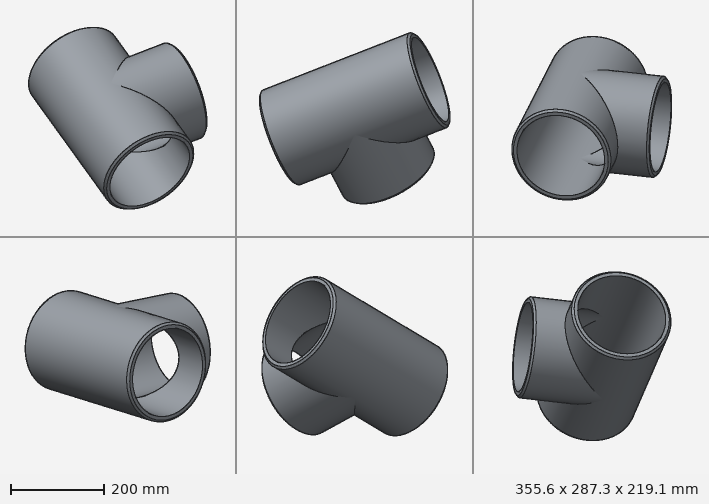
import cadquery as cq

outer_diameter = 219.075
wall = 12.7
center_to_end = 177.8
bevel = 4.76

outer_radius = outer_diameter / 2
inner_radius = outer_radius - wall

run_directions = [(-1, 0, 0), (1, 0, 0)]
branch_direction = (0, 1, 0)


def arm_cylinder(radius, direction):
    """Solid cylinder from the crossing of the axes to the open end."""
    cylinder = cq.Solid.makeCylinder(radius, center_to_end, cq.Vector(0, 0, 0), cq.Vector(*direction))
    return cq.Workplane(obj=cylinder)


def joined_arms(radius, end_bevel=0):
    """Three equal arms joined at the crossing, with optional bevels on the open ends."""
    tee = None
    for direction in run_directions + [branch_direction]:
        arm = arm_cylinder(radius, direction)
        if end_bevel:
            axis = cq.Vector(*direction)
            arm = arm.faces(cq.selectors.DirectionMinMaxSelector(axis)).chamfer(end_bevel)
        tee = arm if tee is None else tee.union(arm)
    return tee.clean()


result = joined_arms(outer_radius, bevel).cut(joined_arms(inner_radius))